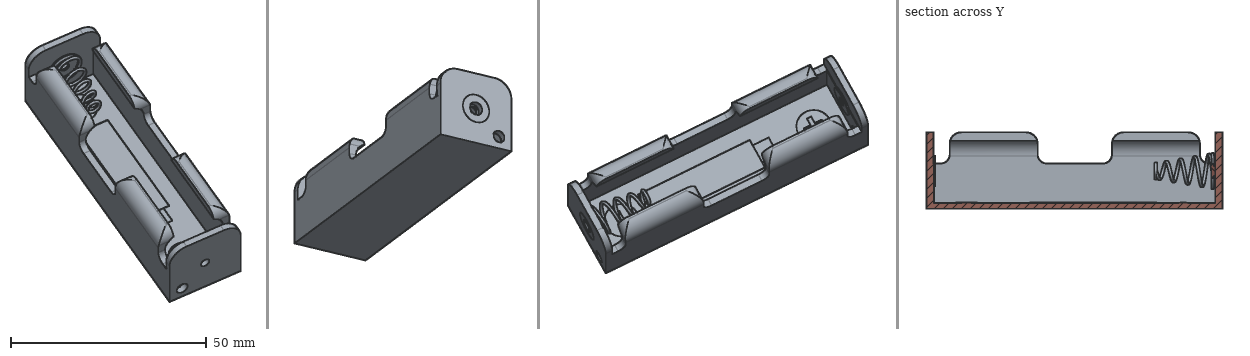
import cadquery as cq
import math

LENGTH = 75.9
WIDTH = 20.95
HEIGHT = 19.65
WALL = 2.0
FLOOR = 1.5
MINUS_WALL = 1.9
PLUS_PLATE = 1.8
PLUS_WALL = 2.0
PLATE_CORNER_RADIUS = 5.0
TAB_CORNER_RADIUS = 4.0

SIDE_HEIGHT = 11.7
TAB_MIDDLE = 37.9
TAB_LENGTH = 22.6
TAB_GAP = 19.0
TAB_END_RADIUS = 3.0
TAB_ROOT_RADIUS = 2.2
TAB_OPENING = 11.8

AXIS_Z = 9.7
CABLE_HOLE_DIAMETER = 3.2
CABLE_HOLE_Y = -6.75
CABLE_HOLE_Z = 3.35
BUTTON_DIAMETER = 7.75
PAD_HEIGHT = 0.3
CONTACT_HOLE_DIAMETER = 2.4
PLUG_COUNTERBORE_DIAMETER = 3.6
PLUG_COUNTERBORE_DEPTH = 1.7
FLANGE_DIAMETER = 8.9
FLANGE_THICKNESS = 0.3

WIRE_RADIUS = 0.4
CLOSED_COIL_WIRE_RADIUS = 0.42
WIRE_SINK = 0.1
BASE_COIL_RADIUS = 4.25
TIP_COIL_RADIUS = 1.8
PITCH = 3.65
CONE_TURNS = 4
POINTS_PER_TURN = 16

LOW_MARK_HEIGHT = 0.1
HIGH_MARK_HEIGHT = 0.2
MARK_CIRCLE_DIAMETER = 8.9
MARK_OFFSET = 27.8
SIGN_LENGTH = 5.2
SIGN_STROKE = 1.2
CELL_START = 17.0
CELL_LENGTH = 32.3
CELL_WIDTH = 8.5
CELL_TIP_LENGTH = 4.6

BAY_START = MINUS_WALL
BAY_END = LENGTH - PLUS_WALL
BAY_WIDTH = WIDTH - 2 * WALL
TAB_CENTRES = [TAB_MIDDLE + side * (TAB_GAP + TAB_LENGTH) / 2 for side in (-1, 1)]


def block(start, end, width, bottom, top):
    """Box from start to end along X, centred on Y."""
    box = cq.Workplane("XY").box(end - start, width, top - bottom, centered=(False, True, False))
    return box.translate((start, 0, bottom))


def cylinder_x(diameter, start, end, y=0.0, z=AXIS_Z):
    """Cylinder along X."""
    return cq.Workplane("YZ", origin=(start, y, z)).circle(diameter / 2).extrude(end - start)


def end_plate(start, end):
    return block(start, end, WIDTH, 0, HEIGHT).edges("|X and >Z").fillet(PLATE_CORNER_RADIUS)


def tab_band():
    """Side walls bent inward over the bay, before the gaps between the tabs are cut."""
    outside = block(0, LENGTH, WIDTH, 0, HEIGHT).edges("|X and >Z").fillet(TAB_CORNER_RADIUS)
    inside = block(0, LENGTH, BAY_WIDTH, FLOOR, HEIGHT - WALL)
    inside = inside.edges("|X and >Z").fillet(TAB_CORNER_RADIUS)
    return outside.cut(inside).cut(block(0, LENGTH, TAB_OPENING, FLOOR, HEIGHT))


def side_profile():
    """Side outline between the end plates: low wall with two rounded tabs."""
    profile = block(0, LENGTH, WIDTH, 0, SIDE_HEIGHT)
    for centre in TAB_CENTRES:
        tab = block(centre - TAB_LENGTH / 2, centre + TAB_LENGTH / 2, WIDTH, 0, HEIGHT)
        profile = profile.union(tab.edges("|Y and >Z").fillet(TAB_END_RADIUS))
    at_wall_top = cq.selectors.BoxSelector(
        (BAY_START, -WIDTH, SIDE_HEIGHT - TAB_ROOT_RADIUS),
        (BAY_END, WIDTH, SIDE_HEIGHT + TAB_ROOT_RADIUS),
    )
    return profile.edges("|Y").edges(at_wall_top).fillet(TAB_ROOT_RADIUS)


def sign(plus, bottom, top):
    """Minus along Y, or plus."""
    strokes = block(-SIGN_STROKE / 2, SIGN_STROKE / 2, SIGN_LENGTH, bottom, top)
    if plus:
        strokes = strokes.union(block(-SIGN_LENGTH / 2, SIGN_LENGTH / 2, SIGN_STROKE, bottom, top))
    return strokes


def floor_marks():
    """Low pads on the floor: a cell with its tip, and a disc with its sign near each end."""
    cell_end = CELL_START + CELL_LENGTH
    low_top = FLOOR + LOW_MARK_HEIGHT
    high_top = FLOOR + HIGH_MARK_HEIGHT
    marks = block(CELL_START, cell_end, CELL_WIDTH, 0, high_top)
    marks = marks.union(block(cell_end, cell_end + CELL_TIP_LENGTH, SIGN_LENGTH, 0, low_top))
    for side in (-1, 1):
        disc = cq.Workplane("XY").circle(MARK_CIRCLE_DIAMETER / 2).extrude(low_top)
        mark = disc.union(sign(side > 0, 0, high_top))
        marks = marks.union(mark.translate((TAB_MIDDLE + side * MARK_OFFSET, 0, 0)))
    return marks


def make_housing():
    body = tab_band().intersect(side_profile())
    body = body.union(end_plate(0, MINUS_WALL)).union(end_plate(LENGTH - PLUS_PLATE, LENGTH))
    body = body.union(block(BAY_END, LENGTH, WIDTH, 0, SIDE_HEIGHT))
    body = body.union(cylinder_x(BUTTON_DIAMETER, BAY_END - PAD_HEIGHT, LENGTH))
    body = body.cut(cylinder_x(CONTACT_HOLE_DIAMETER, BAY_END - PAD_HEIGHT, LENGTH))
    body = body.cut(cylinder_x(BUTTON_DIAMETER, 0, MINUS_WALL))
    for start, end in ((0, BAY_START), (BAY_END, LENGTH)):
        body = body.cut(cylinder_x(CABLE_HOLE_DIAMETER, start, end, CABLE_HOLE_Y, CABLE_HOLE_Z))
    return body.union(floor_marks())


def cone_point(turn, base_x):
    """Centre of the wire after a number of turns of the cone, starting on the base ring at +Y."""
    radius = BASE_COIL_RADIUS + (TIP_COIL_RADIUS - BASE_COIL_RADIUS) * turn / CONE_TURNS
    angle = 2 * math.pi * turn
    return cq.Vector(base_x + PITCH * turn, radius * math.cos(angle), AXIS_Z + radius * math.sin(angle))


def closed_coil(radius, x):
    """Flat coil closed into a ring around the spring axis."""
    centre = cq.Vector(x, 0, AXIS_Z)
    ring = cq.Solid.makeTorus(radius, CLOSED_COIL_WIRE_RADIUS, centre, cq.Vector(1, 0, 0))
    return cq.Workplane(ring)


def make_spring(base_x):
    steps = CONE_TURNS * POINTS_PER_TURN
    path = cq.Edge.makeSpline([cone_point(step / POINTS_PER_TURN, base_x) for step in range(steps + 1)])
    section = cq.Workplane(cq.Plane(origin=path.startPoint(), normal=path.tangentAt(0)))
    spring = section.circle(WIRE_RADIUS).sweep(cq.Workplane(path), isFrenet=True)
    spring = spring.union(closed_coil(BASE_COIL_RADIUS, base_x))
    return spring.union(closed_coil(TIP_COIL_RADIUS, base_x + PITCH * CONE_TURNS))


def make_spring_contact():
    """Counterbored plug through the -X wall, with a flange and a conical spring in the bay."""
    flange_face = MINUS_WALL + FLANGE_THICKNESS
    contact = cylinder_x(BUTTON_DIAMETER, 0, MINUS_WALL)
    contact = contact.union(cylinder_x(FLANGE_DIAMETER, MINUS_WALL, flange_face))
    contact = contact.cut(cylinder_x(CONTACT_HOLE_DIAMETER, 0, flange_face))
    contact = contact.cut(cylinder_x(PLUG_COUNTERBORE_DIAMETER, 0, PLUG_COUNTERBORE_DEPTH))
    return contact.union(make_spring(flange_face + CLOSED_COIL_WIRE_RADIUS - WIRE_SINK))


housing = make_housing()
spring_contact = make_spring_contact()

result = cq.Compound.makeCompound([housing.val(), spring_contact.val()])